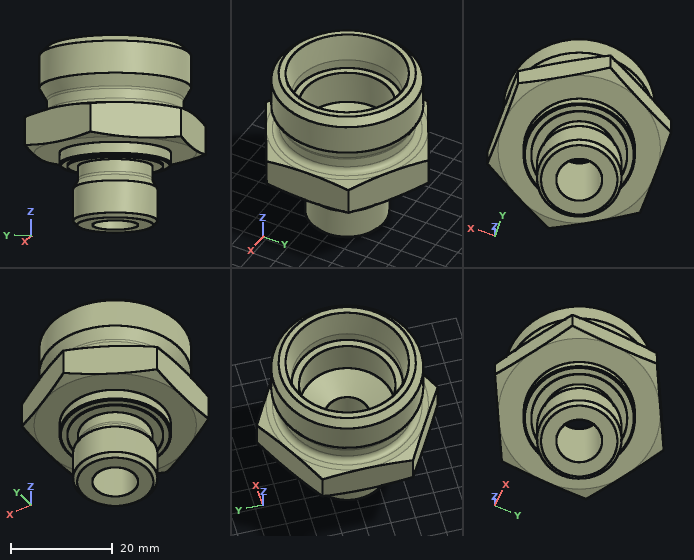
import cadquery as cq
import math

hex_corner_diameter = 36.95
hex_bottom_z = 14.5
hex_top_z = 21.5
hex_chamfer_angle = 15.0
hex_face_radius = hex_corner_diameter / 2 * math.cos(math.radians(30))
hex_chamfer_drop = (hex_corner_diameter / 2 - hex_face_radius) * math.tan(math.radians(hex_chamfer_angle))

stud_radius = 16.65 / 2
stud_end_chamfer = 0.8
stud_shoulder_z = 7.28
relief_radius = 14.7 / 2
relief_cone_angle = 30.0
relief_blend_z = 8.7
relief_top_z = 9.27

collar_radius = 22.0 / 2
collar_bottom_z = 12.0
collar_edge_chamfer = 0.25
seal_radius = 18.9 / 2
seal_protrusion = 0.25
seal_bottom_z = collar_bottom_z - seal_protrusion
seal_thickness = 1.48
seal_top_z = seal_bottom_z + seal_thickness

top_z = 35.5
head_radius = 30.0 / 2
head_top_chamfer = 1.48
head_bottom_z = 27.55
neck_radius = 27.0 / 2
neck_base_fillet = 1.25
neck_blend_z = 25.2
neck_top_z = 24.72
neck_cone_angle = 30.0

socket_mouth_radius = 24.3 / 2
socket_radius = 22.0 / 2
socket_half_angle = 12.0
socket_cone_depth = (socket_mouth_radius - socket_radius) / math.tan(math.radians(socket_half_angle))
socket_floor_z = 27.97
chamber_radius = 19.0 / 2
chamber_bottom_z = 20.58
drill_half_angle = 60.0
bore_radius = 9.0 / 2
chamber_tip_z = chamber_bottom_z - (chamber_radius - bore_radius) / math.tan(math.radians(drill_half_angle))


def revolve(profile):
    """Close an (r, z) half-profile and turn it fully around the Z axis."""
    return profile.close().revolve(360, (0, 0, 0), (0, 1, 0))


def cylinder(radius, bottom_z, end_z):
    return cq.Workplane("XY").workplane(offset=bottom_z).circle(radius).extrude(end_z - bottom_z)


def make_stud_and_collar():
    blend_radius = stud_radius - (relief_blend_z - stud_shoulder_z) * math.tan(math.radians(relief_cone_angle))
    return revolve(
        cq.Workplane("XZ")
        .moveTo(0, 0)
        .lineTo(stud_radius - stud_end_chamfer, 0)
        .lineTo(stud_radius, stud_end_chamfer)
        .lineTo(stud_radius, stud_shoulder_z)
        .lineTo(blend_radius, relief_blend_z)
        .tangentArcPoint((relief_radius, relief_top_z), relative=False)
        .lineTo(relief_radius, collar_bottom_z)
        .lineTo(collar_radius - collar_edge_chamfer, collar_bottom_z)
        .lineTo(collar_radius, collar_bottom_z + collar_edge_chamfer)
        .lineTo(collar_radius, hex_bottom_z)
        .lineTo(0, hex_bottom_z)
    )


def make_hexagon():
    prism = (
        cq.Workplane("XY")
        .workplane(offset=hex_bottom_z)
        .polygon(6, hex_corner_diameter)
        .extrude(hex_top_z - hex_bottom_z)
        .rotate((0, 0, 0), (0, 0, 1), 30)
    )
    corner_radius = hex_corner_diameter / 2
    chamfer_envelope = revolve(
        cq.Workplane("XZ")
        .moveTo(0, hex_bottom_z)
        .lineTo(hex_face_radius, hex_bottom_z)
        .lineTo(corner_radius, hex_bottom_z + hex_chamfer_drop)
        .lineTo(corner_radius, hex_top_z - hex_chamfer_drop)
        .lineTo(hex_face_radius, hex_top_z)
        .lineTo(0, hex_top_z)
    )
    return prism.intersect(chamfer_envelope)


def make_head():
    blend_radius = head_radius - (head_bottom_z - neck_blend_z) * math.tan(math.radians(neck_cone_angle))
    fillet_middle = neck_base_fillet * (1 - math.cos(math.radians(45)))
    return revolve(
        cq.Workplane("XZ")
        .moveTo(0, hex_top_z)
        .lineTo(neck_radius + neck_base_fillet, hex_top_z)
        .threePointArc(
            (neck_radius + fillet_middle, hex_top_z + fillet_middle),
            (neck_radius, hex_top_z + neck_base_fillet),
        )
        .lineTo(neck_radius, neck_top_z)
        .lineTo(blend_radius, neck_blend_z)
        .lineTo(head_radius, head_bottom_z)
        .lineTo(head_radius, top_z - head_top_chamfer)
        .lineTo(head_radius - head_top_chamfer, top_z)
        .lineTo(0, top_z)
    )


def make_bore():
    return revolve(
        cq.Workplane("XZ")
        .moveTo(0, 0)
        .lineTo(bore_radius, 0)
        .lineTo(bore_radius, chamber_tip_z)
        .lineTo(chamber_radius, chamber_bottom_z)
        .lineTo(chamber_radius, socket_floor_z)
        .lineTo(socket_radius, socket_floor_z)
        .lineTo(socket_radius, top_z - socket_cone_depth)
        .lineTo(socket_mouth_radius, top_z)
        .lineTo(0, top_z)
    )


def make_seal_ring():
    ring = cylinder(seal_radius, seal_bottom_z, seal_top_z)
    return ring.cut(cylinder(relief_radius, seal_bottom_z, seal_top_z))


def make_fitting(seal):
    outside = make_stud_and_collar().union(make_hexagon()).union(make_head())
    return outside.cut(make_bore()).cut(seal)


seal_ring = make_seal_ring()
fitting = make_fitting(seal_ring)

result = cq.Compound.makeCompound([fitting.val(), seal_ring.val()])